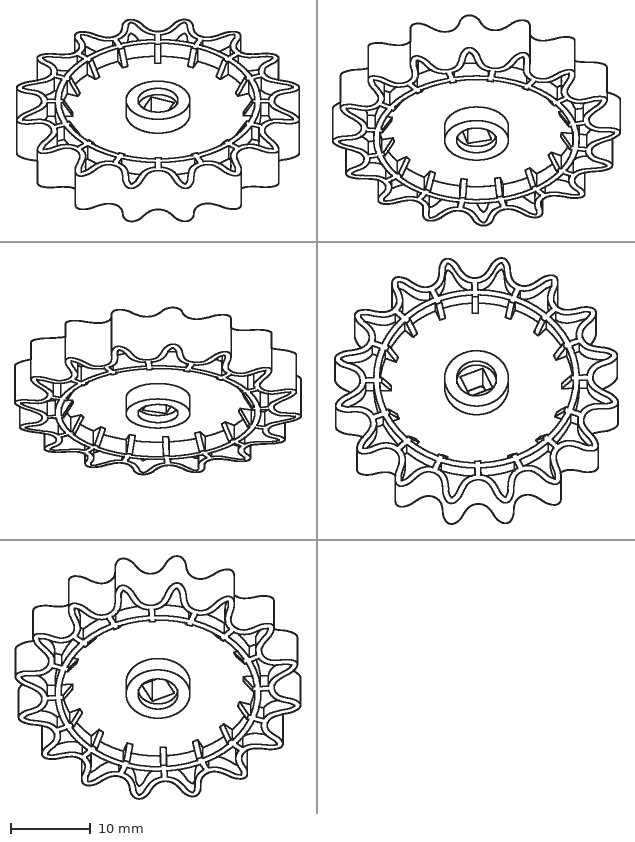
import cadquery as cq
import math

overall_width = 35.53
tooth_count = 16
tooth_pitch_angle = 360.0 / tooth_count

hub_length = 6.35
hub_diameter = 8.03
bore_diameter = 5.0
bore_depth = 1.0
drive_square = 3.1

rim_height = 6.1
web_thickness = 2.0
wall = 0.75

pitch_radius = 16.3
seating_radius = 1.67
seating_half_angle = 54.0
working_radius = 5.1
flank_half_angle = 13.2
topping_radius = 2.63
tip_radius = 0.78
half_pitch_angle = tooth_pitch_angle / 2
tip_center_distance = (overall_width / 2 - tip_radius) / math.cos(math.radians(half_pitch_angle))
tip_circle_radius = tip_center_distance + tip_radius

bevel_start_radius = 15.28
bevel_drop_at_tip = 0.45

ring_outer_radius = 12.95
ring_inner_radius = ring_outer_radius - wall
rib_top_radius = 11.95
rib_foot_radius = 10.73
rib_outer_radius = pitch_radius - seating_radius - wall / 2


def polar(radius, angle):
    """Vector of a given length and angle in degrees."""
    return cq.Vector(radius * math.cos(math.radians(angle)), radius * math.sin(math.radians(angle)))


def turned(point, angle):
    """XY coordinates of a point turned about the part axis by an angle in degrees."""
    moved = polar(point.Length, angle + math.degrees(math.atan2(point.y, point.x)))
    return (moved.x, moved.y)


def mirrored(point):
    """Point mirrored across the X axis."""
    return cq.Vector(point.x, -point.y)


def bisector(first, second):
    """Unit vector halfway between two unit vectors."""
    return (first + second).normalized()


def flank_points(inset):
    """Points of one flank, from the end of the seating arc to the start of the tip arc.

    The flank belongs to the valley on the X axis. Every inset shares the same arc
    centres, so hollow arcs grow and bulging arcs shrink by the inset.
    """
    to_seating_end = polar(1, 180 - seating_half_angle)
    along_flank = polar(1, flank_half_angle + half_pitch_angle)
    into_tooth = polar(1, 90 + flank_half_angle + half_pitch_angle)

    seating_center = cq.Vector(pitch_radius, 0)
    working_center = seating_center - to_seating_end * (working_radius - seating_radius)
    flank_start = working_center + into_tooth * working_radius
    tip_center = polar(tip_center_distance, half_pitch_angle)

    to_tip = tip_center - (flank_start + into_tooth * topping_radius)
    tip_across = to_tip.dot(into_tooth)
    flank_length = to_tip.dot(along_flank) - math.sqrt((topping_radius - tip_radius) ** 2 - tip_across**2)
    flank_end = flank_start + along_flank * flank_length
    topping_center = flank_end + into_tooth * topping_radius
    to_topping_start = into_tooth * -1
    to_topping_end = (tip_center - topping_center).normalized()

    return [
        seating_center + to_seating_end * (seating_radius + inset),
        working_center + bisector(to_seating_end, into_tooth) * (working_radius + inset),
        flank_start + into_tooth * inset,
        flank_end + into_tooth * inset,
        topping_center + bisector(to_topping_start, to_topping_end) * (topping_radius - inset),
        tip_center + to_topping_end * (tip_radius - inset),
    ]


def tooth_outline(inset):
    """Closed sprocket outline, moved inward by the inset."""
    rising = flank_points(inset)
    falling = [mirrored(point) for point in reversed(rising)]
    valley_bottom = polar(pitch_radius - seating_radius - inset, 0)
    tip_top = polar(tip_circle_radius - inset, half_pitch_angle)

    outline = cq.Workplane("XY").moveTo(*turned(falling[-1], 0))
    for index in range(tooth_count):
        angle = index * tooth_pitch_angle
        seating_end, working_middle, working_end, topping_start, topping_middle, topping_end = [
            turned(point, angle) for point in rising
        ]
        outline = (
            outline.threePointArc(turned(valley_bottom, angle), seating_end)
            .threePointArc(working_middle, working_end)
            .lineTo(*topping_start)
            .threePointArc(topping_middle, topping_end)
        )
        tip_end, topping_middle, topping_end, working_start, working_middle, seating_start = [
            turned(point, angle + tooth_pitch_angle) for point in falling
        ]
        outline = (
            outline.threePointArc(turned(tip_top, angle), tip_end)
            .threePointArc(topping_middle, topping_end)
            .lineTo(*working_start)
            .threePointArc(working_middle, seating_start)
        )
    return outline.close()


def centered(outline, height):
    """Prism of an outline, centred on the XY plane."""
    return outline.extrude(height).translate((0, 0, -height / 2))


def circle(diameter):
    """Circle sketched around the part axis."""
    return cq.Workplane("XY").circle(diameter / 2)


def make_ribs():
    """Radial ribs at the valleys, sloping down to the web inside the ring on both faces."""
    top = rim_height / 2
    foot = web_thickness / 2
    rib = (
        cq.Workplane("XZ")
        .polyline([
            (rib_foot_radius, -foot),
            (rib_top_radius, -top),
            (rib_outer_radius, -top),
            (rib_outer_radius, top),
            (rib_top_radius, top),
            (rib_foot_radius, foot),
        ])
        .close()
        .extrude(wall / 2, both=True)
    )
    ribs = cq.Workplane("XY")
    for index in range(tooth_count):
        ribs.add(rib.rotate((0, 0, 0), (0, 0, 1), index * tooth_pitch_angle))
    return ribs.combine()


def make_bevel_envelope():
    """Flat disc whose two faces taper conically toward the tooth tips."""
    top = rim_height / 2
    edge = top - bevel_drop_at_tip
    return (
        cq.Workplane("XZ")
        .polyline([
            (0, -top),
            (bevel_start_radius, -top),
            (tip_circle_radius, -edge),
            (tip_circle_radius, edge),
            (bevel_start_radius, top),
            (0, top),
        ])
        .close()
        .revolve(360, (0, 0, 0), (0, 1, 0))
    )


web = centered(tooth_outline(0), web_thickness)
tooth_wall = centered(tooth_outline(0), rim_height).cut(centered(tooth_outline(wall), rim_height))
ring = centered(circle(2 * ring_outer_radius), rim_height).cut(
    centered(circle(2 * ring_inner_radius), rim_height)
)
body = web.union(tooth_wall).union(ring).union(make_ribs())
body = body.intersect(make_bevel_envelope())

body = body.union(centered(circle(hub_diameter), hub_length))
body = body.cut(centered(cq.Workplane("XY").rect(drive_square, drive_square), hub_length))
counterbores = centered(circle(bore_diameter), hub_length).cut(
    centered(circle(bore_diameter), hub_length - 2 * bore_depth)
)
result = body.cut(counterbores)